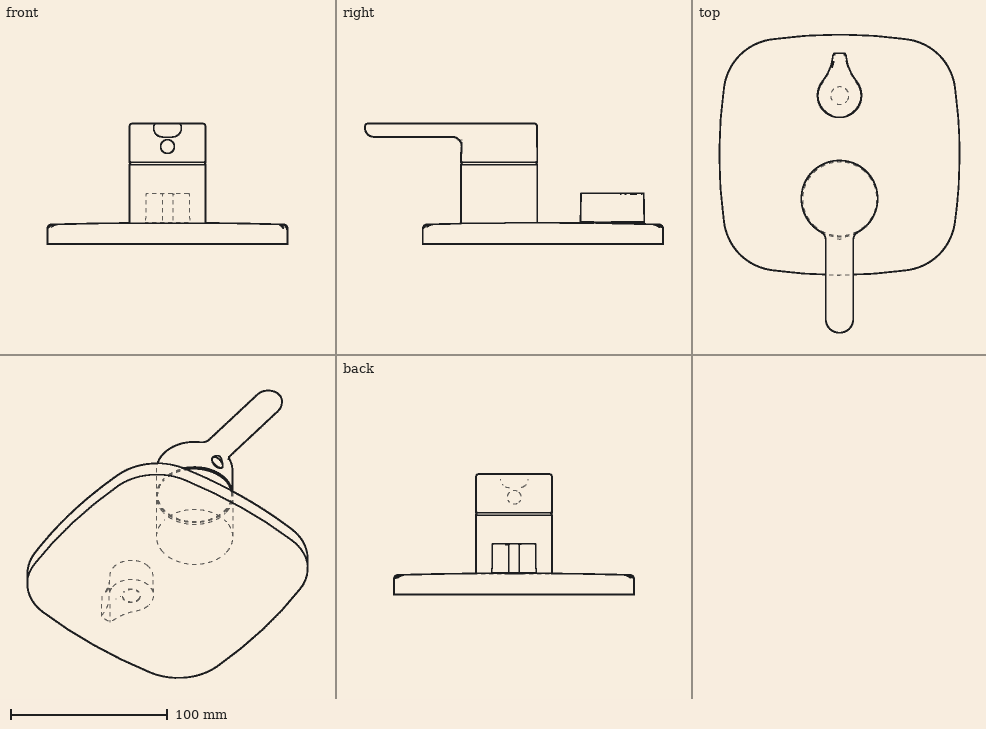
import cadquery as cq
import math

plate_half = 76.7
side_arc_half = 43.4
side_arc_rise = 3.0
plate_crown = 13.7
dome_drop = 1.1
plate_edge_fillet = 3.0

overall_height = 77.0
body_y = -28.0
body_radius = 24.4
body_top = 50.6
groove_height = 1.7
groove_depth = 0.8
handle_bottom = body_top + groove_height
lever_tip_y = plate_half - 190.2
lever_width = 17.7
lever_thickness = 8.8
lever_bottom_fillet = 5.7
lever_root_fillet = 5.3
handle_top_fillet = 2.3
screw_radius = 4.4
screw_z = 62.2
screw_depth = 0.5

knob_y = 37.9
knob_radius = 14.0
knob_bottom = 14.0
knob_top = 32.5
knob_tip_y = 64.7
knob_tip_half_width = 4.2
knob_tip_corner = 1.5
knob_neck_angle = math.radians(39.4)
knob_draft = 1.0
knob_top_fillet = 0.8
knob_stem_radius = 5.7
knob_stem_start = plate_crown - 3.8


def make_plate():
    corner_end = plate_half - side_arc_rise
    side_radius = (side_arc_half**2 + side_arc_rise**2) / (2 * side_arc_rise)
    side_angle = math.asin(side_arc_half / side_radius)
    corner_radius = (corner_end - side_arc_half) / (math.cos(side_angle) - math.sin(side_angle))
    corner_center = side_arc_half - corner_radius * math.sin(side_angle)
    corner_mid = corner_center + corner_radius * math.sqrt(0.5)

    outline = cq.Workplane("XY").moveTo(-side_arc_half, corner_end)
    for quarter_turn in range(4):
        angle = -quarter_turn * math.pi / 2

        def turned(x, y):
            return (
                x * math.cos(angle) - y * math.sin(angle),
                x * math.sin(angle) + y * math.cos(angle),
            )

        outline = outline.threePointArc(turned(0, plate_half), turned(side_arc_half, corner_end))
        outline = outline.threePointArc(turned(corner_mid, corner_mid), turned(corner_end, side_arc_half))
    slab = outline.close().extrude(plate_crown)
    dome_radius = (plate_half**2 + dome_drop**2) / (2 * dome_drop)
    dome = cq.Workplane("XY").sphere(dome_radius).translate((0, 0, plate_crown - dome_radius))
    return slab.intersect(dome).faces(">Z").edges().fillet(plate_edge_fillet)


def make_body():
    body = cq.Workplane("XY").center(0, body_y).circle(body_radius).extrude(handle_bottom)
    body = body.faces(">Z").edges().chamfer(groove_height, groove_depth)
    return body


def make_handle():
    hub = (
        cq.Workplane("XY", origin=(0, body_y, handle_bottom))
        .circle(body_radius)
        .extrude(overall_height - handle_bottom)
    )
    half_width = lever_width / 2
    tip_center_y = lever_tip_y + half_width
    lever = (
        cq.Workplane("XY", origin=(0, 0, overall_height - lever_thickness))
        .moveTo(half_width, body_y)
        .lineTo(half_width, tip_center_y)
        .threePointArc((0, lever_tip_y), (-half_width, tip_center_y))
        .lineTo(-half_width, body_y)
        .close()
        .extrude(lever_thickness)
    )
    lever = lever.faces("<Z").edges("not >Y").fillet(lever_bottom_fillet)
    root_zone = cq.selectors.BoxSelector(
        (-lever_width, body_y - body_radius - 1.9, handle_bottom + 1.9),
        (lever_width, body_y - body_radius / 2, overall_height - 0.02),
    )
    handle = hub.union(lever).edges(root_zone).fillet(lever_root_fillet)
    handle = handle.faces(">Z").edges().fillet(handle_top_fillet)
    seat_y = body_y - body_radius + screw_depth
    seat = (
        cq.Workplane("XZ", origin=(0, seat_y, screw_z))
        .circle(screw_radius)
        .extrude(seat_y - lever_tip_y)
    )
    return handle.cut(seat)


def make_knob():
    neck_x = knob_radius * math.cos(knob_neck_angle)
    neck_y = knob_y + knob_radius * math.sin(knob_neck_angle)
    shoulder_y = knob_tip_y - knob_tip_corner
    flat_half = knob_tip_half_width - knob_tip_corner / 2
    dx = knob_tip_half_width - neck_x
    dy = shoulder_y - neck_y
    normal_x = math.cos(knob_neck_angle)
    normal_y = math.sin(knob_neck_angle)
    neck_radius = (dx**2 + dy**2) / (2 * (dx * normal_x + dy * normal_y))
    center_x = neck_x + neck_radius * normal_x
    center_y = neck_y + neck_radius * normal_y
    end_angle = math.atan2(shoulder_y - center_y, knob_tip_half_width - center_x)
    start_angle = knob_neck_angle + math.pi
    mid_angle = (start_angle + end_angle % (2 * math.pi)) / 2
    mid_x = center_x + neck_radius * math.cos(mid_angle)
    mid_y = center_y + neck_radius * math.sin(mid_angle)

    knob = (
        cq.Workplane("XY", origin=(0, 0, knob_bottom))
        .moveTo(neck_x, neck_y)
        .threePointArc((mid_x, mid_y), (knob_tip_half_width, shoulder_y))
        .lineTo(flat_half, knob_tip_y)
        .lineTo(-flat_half, knob_tip_y)
        .lineTo(-knob_tip_half_width, shoulder_y)
        .threePointArc((-mid_x, mid_y), (-neck_x, neck_y))
        .threePointArc((0, knob_y - knob_radius), (neck_x, neck_y))
        .close()
        .extrude(knob_top - knob_bottom, taper=knob_draft)
    )
    knob = knob.faces(">Z").edges().fillet(knob_top_fillet)
    stem = (
        cq.Workplane("XY", origin=(0, knob_y, knob_stem_start))
        .circle(knob_stem_radius)
        .extrude(knob_bottom + 1.9 - knob_stem_start)
    )
    return knob.union(stem)


result = make_plate().union(make_body()).union(make_handle()).union(make_knob())